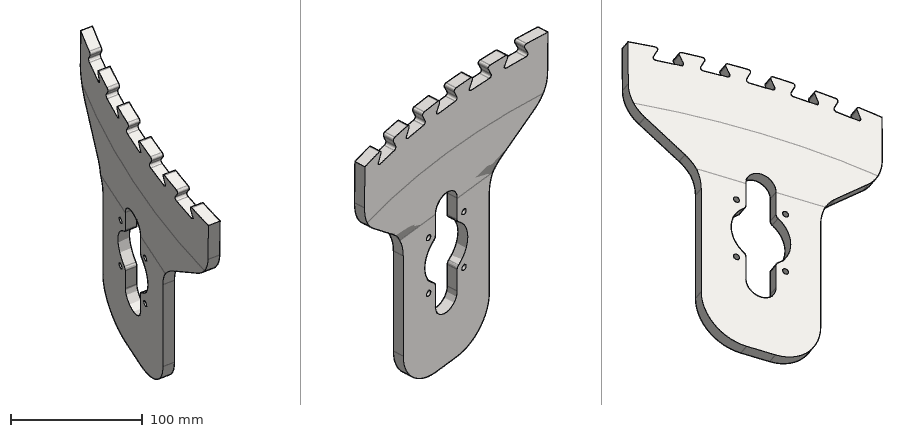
import cadquery as cq
import math

height = 260.4
head_width = 215.8
handle_width = 101.5
thickness = 10.0
outline_radius = 38.5

flat_end_z = 152.3
crease_z = 203.3
edge_rise = 9.5
head_lean = 0.5
head_bend_radius = (head_width / 2) ** 2 / (2 * edge_rise) + edge_rise / 2
head_blank_width = 229.0
blend_blank_width = 119.8

notch_count = 5
notch_pitch = 38.0
notch_depth = 12.5
notch_mouth = 14.5
notch_floor = 26.5
notch_radius = 2.0

opening_z = 107.8
slot_width = 25.5
slot_length = 115.0
bore_diameter = 50.5
opening_corner_radius = 4.0
screw_diameter = 5.0
screw_spacing_x = 41.7
screw_spacing_z = 53.6

cut_depth = 52.0
cut_start_y = -13.0
select_margin = 2.5


def front_plane():
    """Sketch plane ahead of the plate, in X and Z."""
    return cq.Workplane("XZ", origin=(0, cut_start_y, 0))


def corners_within(x_min, x_max, z_min, z_max):
    """Selector for everything inside an X-Z region, over the full cutting depth."""
    return cq.selectors.BoxSelector(
        (x_min, cut_start_y - select_margin, z_min),
        (x_max, cut_start_y + cut_depth + select_margin, z_max),
    )


def arc_y(x, radius):
    """Backward rise at x of an arc of the given radius, tangent to y = 0."""
    return radius - math.sqrt(radius ** 2 - x ** 2)


def curved_section(z, lean):
    """Horizontal section of the curved head, bounded by concentric arcs."""
    half = head_blank_width / 2
    front_end = lean + arc_y(half, head_bend_radius)
    back_end = lean + thickness + arc_y(half, head_bend_radius - thickness)
    return (
        cq.Workplane("XY", origin=(0, 0, z))
        .moveTo(-half, front_end)
        .threePointArc((0, lean), (half, front_end))
        .lineTo(half, back_end)
        .threePointArc((0, lean + thickness), (-half, back_end))
        .close()
        .val()
    )


def flat_section(z, width):
    """Rectangular horizontal section with its front edge on y = 0."""
    half = width / 2
    corners = [(-half, 0), (half, 0), (half, thickness), (-half, thickness)]
    return cq.Workplane("XY", origin=(0, 0, z)).polyline(corners).close().val()


def straight_loft(lower, upper):
    """Loft whose side faces are ruled from one section to the other."""
    return cq.Workplane(cq.Solid.makeLoft([lower, upper], True))


def bent_blank():
    """Handle, blend and head panels before trimming to the outline."""
    handle = cq.Workplane("XY").box(
        head_blank_width, thickness, flat_end_z, centered=(True, False, False)
    )
    crease = curved_section(crease_z, 0)
    blend = straight_loft(flat_section(flat_end_z, blend_blank_width), crease)
    head = straight_loft(crease, curved_section(height, head_lean))
    return handle.union(blend).union(head)


def outline():
    """Front outline, with every corner except the top two rounded."""
    head_half = head_width / 2
    handle_half = handle_width / 2
    right_side = [(handle_half, 0), (handle_half, flat_end_z), (head_half, crease_z), (head_half, height)]
    left_side = [(-x, z) for x, z in reversed(right_side)]
    plate = front_plane().polyline(right_side + left_side).close().extrude(-cut_depth)
    lower_corners = corners_within(-head_width, head_width, -select_margin, height - select_margin)
    return plate.edges("|Y").edges(lower_corners).fillet(outline_radius)


def notch(x):
    """Dovetail cutter centred at x, with rounded floor corners and mouth lips."""
    mouth_half = notch_mouth / 2
    floor_half = notch_floor / 2
    floor_z = height - notch_depth
    margin_half = notch_pitch / 2
    right_side = [
        (floor_half, floor_z),
        (mouth_half, height),
        (margin_half, height),
        (margin_half, height + notch_depth),
    ]
    left_side = [(-px, pz) for px, pz in reversed(right_side)]
    cutter = front_plane().center(x, 0).polyline(right_side + left_side).close().extrude(-cut_depth)
    dovetail_corners = corners_within(
        x - floor_half - select_margin,
        x + floor_half + select_margin,
        floor_z - select_margin,
        height + select_margin,
    )
    return cutter.edges("|Y").edges(dovetail_corners).fillet(notch_radius)


def opening():
    """Round bore crossed by a vertical slot, with the junctions rounded."""
    bore_radius = bore_diameter / 2
    bore = front_plane().center(0, opening_z).circle(bore_radius).extrude(-cut_depth)
    slot = front_plane().center(0, opening_z).slot2D(slot_length, slot_width, 90).extrude(-cut_depth)
    junctions = corners_within(-slot_width, slot_width, opening_z - bore_radius, opening_z + bore_radius)
    return bore.union(slot).edges("|Y").edges(junctions).fillet(opening_corner_radius)


def screw_holes():
    """Four holes around the bore."""
    return (
        front_plane()
        .center(0, opening_z)
        .rect(screw_spacing_x, screw_spacing_z, forConstruction=True)
        .vertices()
        .circle(screw_diameter / 2)
        .extrude(-cut_depth)
    )


result = bent_blank().intersect(outline())
for index in range(notch_count):
    result = result.cut(notch((index - (notch_count - 1) / 2) * notch_pitch))
result = result.cut(opening()).cut(screw_holes())